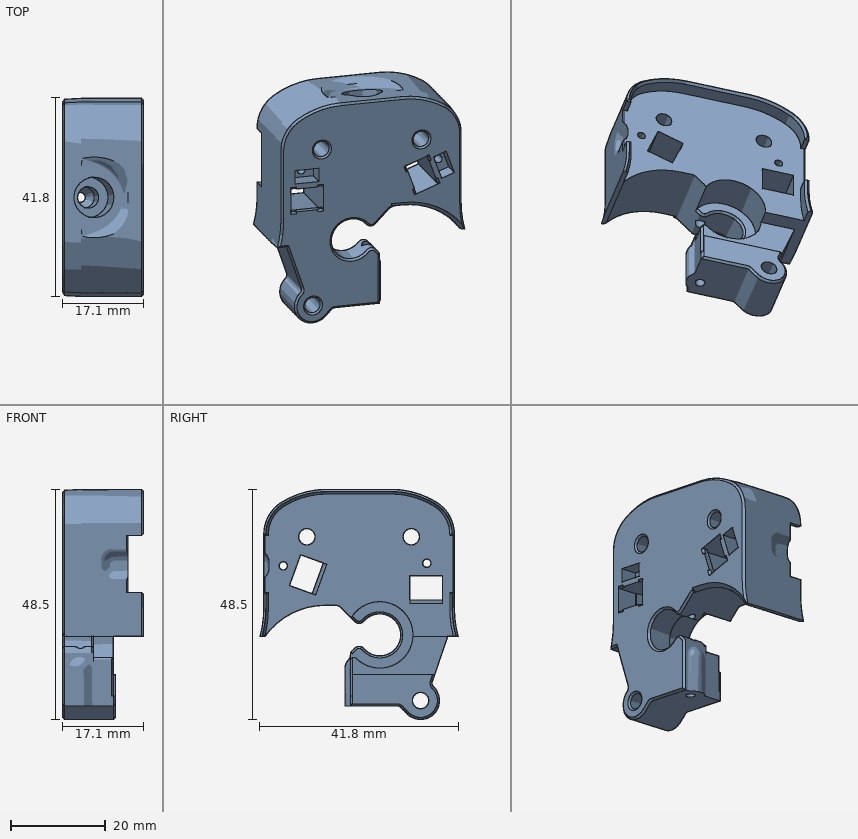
import cadquery as cq
import math


far = 30.0
margin = 1.0

depth = 17.05
hood_top = 31.0
hood_half_width = 20.1
crown_radius = 18.0
shoulder_radius = 8.0
shoulder_bottom = 21.5
skirt_top = 6.0
skirt_half_width = 20.89
draft_depth = 3.95
draft_angle = 3.0
edge_chamfer = 0.45

step_x = 13.8
step_bottom = 9.3
step_top = 21.24
step_chamfer = 0.3
rim_thickness = 1.0
rim_bevel = 0.5

arm_side_y = -1.86
arm_bottom = -14.65
arm_thickness = 10.7
pad_thickness = 11.15
pad_top = -8.05
pad_corner_top = -12.5
slant_top_y = 18.7
slant_angle = 18.9
lug_y = 12.95
lug_z = -13.5
lug_radius = 4.0
lug_blend = 1.0

bore_y = 4.35
bore_z = 0.33
bore_radius = 8.8 / 2
counterbore_radius = 7.0
counterbore_x = 6.55
counterbore_round = 0.75
lip_round = 1.3
mouth_corner_round = 1.1
arch_top = 6.54
arch_start_y = -7.1
arch_radius = 15.65
arch_chamfer = 0.85
arch_bevel_start = -4.4

screw_diameter = 3.4
screw_chamfer = 0.4
screw_places = [(11.0, 21.0), (-11.0, 21.0), (lug_y, lug_z)]

window_width = 6.85
window_height = 5.05
ear_width = 1.25
ear_reach = 0.45
recess_width = 5.24
recess_height = 2.96
recess_depth = 4.0
recess_offset = 5.18
shelf_depth = 5.0
plate_thickness = 1.3
relief_drop = 0.8
pin_hole_diameter = 1.7
left_side_shelf = 0.33
left_seat = (14.1, 10.25, 0.0)
right_seat = (-11.1, 13.1, 70.0)

filament_x = 3.75
filament_diameter = 2.0
tilt = 12.0
recess_hinge_x = 3.96
inlet_x = 6.63
inlet_diameter = 8.5
inlet_depth = 6.0
tube_diameter = 4.5
tube_depth = 10.5
trumpet_radius = 5.6
trumpet_round = 4.0
trumpet_lift = 0.08
trumpet_floor_round = 0.4

groove_x = 10.8
groove_z = 15.05
groove_flat = 1.0
groove_half_width = 2.93
groove_depth = 1.15
groove_crest_share = 0.65
rib_top_z = -6.86
rib_half_width = 2.87
rib_height = 1.15
rib_crest_share = 0.7


def box(x0, x1, y0, y1, z0, z1):
    return cq.Workplane("XY").box(x1 - x0, y1 - y0, z1 - z0, centered=False).translate((x0, y0, z0))


def cylinder_x(y, z, radius, x0, x1):
    return cq.Workplane("YZ", origin=(x0, y, z)).circle(radius).extrude(x1 - x0)


def round_corner(solid, y, z, radius):
    """Round the one edge along X that passes through (y, z)."""
    return solid.edges("|X").edges(cq.NearestToPointSelector((depth / 2, y, z))).fillet(radius)


def hood_outline(x):
    """Symmetric hood outline in the YZ plane; the skirts run on below Z = 0."""
    shoulder_y = hood_half_width - shoulder_radius
    crown_z = hood_top - crown_radius
    center_gap = crown_radius - shoulder_radius
    rise = (shoulder_bottom - crown_z) / center_gap
    crown_y = shoulder_y - center_gap * math.sqrt(1 - rise ** 2)
    crown_end = crown_y + crown_radius * math.sqrt(1 - rise ** 2)
    crown_end_z = crown_z + crown_radius * rise
    flare_reach = skirt_half_width - hood_half_width
    flare_radius = (flare_reach ** 2 + skirt_top ** 2) / (2 * flare_reach)
    tail_z = -2.0
    tail_y = hood_half_width + flare_radius - math.sqrt(flare_radius ** 2 - (skirt_top - tail_z) ** 2)
    return (
        cq.Workplane("YZ", origin=(x, 0, 0))
        .moveTo(-crown_y, hood_top)
        .lineTo(crown_y, hood_top)
        .tangentArcPoint((crown_end, crown_end_z), relative=False)
        .tangentArcPoint((hood_half_width, shoulder_bottom), relative=False)
        .lineTo(hood_half_width, skirt_top)
        .tangentArcPoint((tail_y, tail_z), relative=False)
        .lineTo(-tail_y, tail_z)
        .radiusArc((-hood_half_width, skirt_top), -flare_radius)
        .lineTo(-hood_half_width, shoulder_bottom)
        .tangentArcPoint((-crown_end, crown_end_z), relative=False)
        .tangentArcPoint((-crown_y, hood_top), relative=False)
        .close()
    )


def make_step():
    """Channel across the whole rear face, with bevelled mouth edges."""
    mouth_x = depth - edge_chamfer
    return (
        cq.Workplane("XZ", origin=(0, far, 0))
        .polyline([
            (step_x, step_bottom),
            (mouth_x, step_bottom),
            (depth, step_bottom - edge_chamfer),
            (depth, step_top + edge_chamfer),
            (mouth_x, step_top),
            (step_x, step_top),
        ])
        .close()
        .extrude(2 * far)
    )


def make_rear_pocket():
    """Pocket behind the step floor that leaves a thin bevelled rim; open at the bottom."""
    pocket = hood_outline(step_x).offset2D(-rim_thickness).extrude(depth - step_x)
    bevel = (
        hood_outline(depth)
        .offset2D(rim_bevel - rim_thickness)
        .extrude(-2 * rim_bevel, taper=45)
    )
    return pocket.union(bevel)


def make_hood():
    rear = hood_outline(draft_depth).extrude(depth - draft_depth)
    front = hood_outline(draft_depth).extrude(-draft_depth, taper=draft_angle)
    below = box(-margin, depth + margin, -far, far, -far, 0)
    hood = rear.union(front).faces(">X").edges().chamfer(edge_chamfer).cut(make_step())
    step_face = cq.selectors.BoxSelector(
        (step_x - margin, -far, step_bottom), (step_x + margin, far, step_top)
    )
    hood = hood.faces(step_face).edges("|Z").chamfer(step_chamfer)
    return hood.cut(make_rear_pocket()).cut(below)


def make_arm():
    slope = math.tan(math.radians(slant_angle))
    arm_top = 2.0
    slant_bottom_y = slant_top_y + arm_bottom * slope
    block = (
        cq.Workplane("YZ")
        .polyline([
            (arm_side_y, arm_bottom),
            (slant_bottom_y, arm_bottom),
            (slant_top_y, 0),
            (slant_top_y, arm_top),
            (arm_side_y, arm_top),
        ])
        .close()
        .extrude(pad_thickness)
    )
    lug_length = 8.0
    lug = (
        box(0, pad_thickness, -lug_length, 0, -lug_radius, lug_radius)
        .union(cylinder_x(0, 0, lug_radius, 0, pad_thickness))
        .rotate((0, 0, 0), (1, 0, 0), -45)
        .translate((0, lug_y, lug_z))
    )
    side = lug_radius * math.sqrt(2)
    under_y = lug_y + lug_z - side - arm_bottom
    over_z = (lug_y + lug_z + side - slant_top_y) / (1 + slope)
    over_y = lug_y + lug_z + side - over_z
    arm = block.union(lug)
    arm = round_corner(arm, under_y, arm_bottom, lug_blend)
    arm = round_corner(arm, over_y, over_z, lug_blend)
    return arm


def thin_arm(arm):
    """Lower the rear of the arm above the pad and bevel its free side edge."""
    inner_y = arm_side_y + edge_chamfer
    arm = arm.faces(">X").edges().chamfer(edge_chamfer)
    arm = arm.cut(box(arm_thickness, pad_thickness + margin, -far, far, pad_top, far))
    arm = arm.cut(box(arm_thickness, pad_thickness + margin, -far, inner_y, pad_corner_top, far))
    bevel = (
        cq.Workplane("XY", origin=(0, 0, pad_corner_top))
        .polyline([
            (arm_thickness, inner_y),
            (arm_thickness - edge_chamfer, arm_side_y),
            (arm_thickness, arm_side_y),
        ])
        .close()
        .extrude(far)
    )
    return arm.cut(bevel)


def make_mouth():
    """Bore, its two 45 degree lips and the arch, as one opening through the whole depth."""
    reach = bore_radius / math.sqrt(2)
    tangent_y = bore_y - reach
    lip_y = 0.0
    upper_lip_z = bore_z + reach - (tangent_y - lip_y)
    lower_lip_z = bore_z - reach + (tangent_y - lip_y)
    side_corner_z = lower_lip_z + arm_side_y
    arch_corner_y = upper_lip_z - arch_top
    arch_center_z = arch_top - arch_radius
    arch_end_y = arch_start_y - math.sqrt(arch_radius ** 2 - arch_center_z ** 2)
    floor_z = arm_bottom - far
    opening = (
        cq.Workplane("YZ")
        .moveTo(tangent_y, bore_z + reach)
        .lineTo(lip_y, upper_lip_z)
        .lineTo(arch_corner_y, arch_top)
        .lineTo(arch_start_y, arch_top)
        .radiusArc((arch_end_y, 0), -arch_radius)
        .lineTo(arch_end_y, floor_z)
        .lineTo(arm_side_y, floor_z)
        .lineTo(arm_side_y, side_corner_z)
        .lineTo(lip_y, lower_lip_z)
        .lineTo(tangent_y, bore_z - reach)
        .threePointArc((bore_y + bore_radius, bore_z), (tangent_y, bore_z + reach))
        .close()
        .extrude(depth)
    )
    opening = round_corner(opening, lip_y, upper_lip_z, lip_round)
    opening = round_corner(opening, lip_y, lower_lip_z, lip_round)
    opening = round_corner(opening, arm_side_y, side_corner_z, mouth_corner_round)
    return round_corner(opening, arch_corner_y, arch_top, lip_round)


def make_arch_bevel():
    """Wide bevel where the arch meets the front face; it starts past the upper lip."""
    center_z = arch_top - arch_radius
    wide_radius = arch_radius + arch_chamfer
    cone = (
        cq.Workplane("YZ", origin=(0, arch_start_y, center_z))
        .circle(wide_radius)
        .workplane(offset=arch_chamfer)
        .circle(arch_radius)
        .loft()
    )
    sector = box(0, arch_chamfer, arch_start_y - wide_radius, arch_start_y, 0, center_z + wide_radius)
    flat_bevel = (
        cq.Workplane("XZ", origin=(0, arch_start_y, 0))
        .polyline([(0, arch_top), (0, arch_top + arch_chamfer), (arch_chamfer, arch_top)])
        .close()
        .extrude(arch_start_y - arch_bevel_start)
    )
    return cone.intersect(sector).union(flat_bevel)


def make_screw_hole(y, z):
    hole = cylinder_x(y, z, screw_diameter / 2, 0, depth)
    countersink = (
        cq.Workplane("YZ", origin=(0, y, z))
        .circle(screw_diameter / 2 + screw_chamfer)
        .workplane(offset=screw_chamfer)
        .circle(screw_diameter / 2)
        .loft()
    )
    return hole.union(countersink)


def make_sensor_seat(y, z, turn, side_shelf):
    """Through window with bevelled ears, and a blind recess with a pin hole beside it.

    It is built upright around the window center and then turned about X.
    """
    left = window_width / 2 + side_shelf
    right = -window_width / 2
    top = window_height / 2
    seat = box(0, depth, right, window_width / 2, -top, top)
    ear = (
        cq.Workplane("XZ")
        .polyline([(0, top), (0, top + ear_reach), (ear_reach, top)])
        .close()
        .extrude(-ear_width)
    )
    for ear_y in (right, left - ear_width):
        upper_ear = ear.translate((0, ear_y, 0))
        seat = seat.union(upper_ear).union(upper_ear.mirror("XY"))
    seat = seat.union(box(0, shelf_depth, 0, left, -top, top))
    relief = box(plate_thickness, depth, right, window_width / 2, -top - relief_drop, 0)
    seat = seat.union(relief)
    recess_y = side_shelf / 2
    recess = box(
        0, recess_depth,
        recess_y - recess_width / 2, recess_y + recess_width / 2,
        recess_offset - recess_height / 2, recess_offset + recess_height / 2,
    )
    pin_hole = cylinder_x(recess_y, recess_offset, pin_hole_diameter / 2, 0, depth)
    seat = seat.union(recess).union(pin_hole)
    return seat.rotate((0, 0, 0), (1, 0, 0), turn).translate((0, y, z))


def tilted(shape):
    """Lean a shape built upright at the origin and set its origin on the inlet seat plane."""
    seat_drop = (inlet_x - recess_hinge_x) * math.tan(math.radians(tilt))
    return shape.rotate((0, 0, 0), (0, 1, 0), tilt).translate((inlet_x, 0, hood_top - seat_drop))


def make_inlet():
    """Trumpet-shaped recess with a leaning floor, the fitting hole and the filament path."""
    rim_radius = trumpet_radius + trumpet_round
    trumpet_depth = 5.0
    above = 2.0
    trumpet = (
        cq.Workplane("XZ")
        .moveTo(0, -trumpet_depth)
        .lineTo(trumpet_radius, -trumpet_depth)
        .lineTo(trumpet_radius, -trumpet_round)
        .radiusArc((rim_radius, 0), trumpet_round)
        .lineTo(rim_radius, above)
        .lineTo(0, above)
        .close()
        .revolve(360, (0, 0, 0), (0, 1, 0))
        .translate((inlet_x, 0, hood_top + trumpet_lift))
    )
    lean = math.radians(tilt)
    under_floor = tilted(box(-far, far, -far, far, -far, 0))
    recess = trumpet.cut(under_floor)
    floor_face = cq.selectors.DirectionMinMaxSelector(
        cq.Vector(math.sin(lean), 0, math.cos(lean)), False
    )
    recess = recess.faces(floor_face).edges().fillet(trumpet_floor_round)

    bend_length = (inlet_x - filament_x) / math.sin(lean)
    seat_z = hood_top - (inlet_x - recess_hinge_x) * math.tan(lean)
    bend_z = seat_z - bend_length * math.cos(lean)
    fitting = tilted(cq.Workplane("XY").circle(inlet_diameter / 2).extrude(-inlet_depth))
    fitting_mouth = tilted(cq.Workplane("XY").circle(inlet_diameter / 2).extrude(above))
    tube = tilted(cq.Workplane("XY").circle(tube_diameter / 2).extrude(-tube_depth))
    funnel = tilted(
        cq.Workplane("XY", origin=(0, 0, -tube_depth))
        .circle(tube_diameter / 2)
        .workplane(offset=tube_depth - bend_length)
        .circle(filament_diameter / 2)
        .loft()
    )
    bottom = arm_bottom - margin
    filament = (
        cq.Workplane("XY", origin=(filament_x, 0, bottom))
        .circle(filament_diameter / 2)
        .extrude(bend_z + filament_diameter / 2 - bottom)
    )
    return recess.union(fitting).union(fitting_mouth).union(tube).union(funnel).union(filament)


def swell_profile(half_width, height, crest_share):
    """Half section of a smooth swelling: a crest arc running tangent into a foot arc.

    The axis of the swelling is the local Y axis, its base lies on local Y = 0.
    """
    crest_end = half_width * crest_share
    crest_drop = height * crest_share
    radius_sum = (half_width ** 2 + height ** 2) / (2 * height)
    crest_radius = radius_sum * crest_share
    foot_radius = radius_sum - crest_radius
    base = -margin
    return (
        cq.Workplane("XY")
        .moveTo(0, base)
        .lineTo(0, height)
        .radiusArc((crest_end, height - crest_drop), crest_radius)
        .radiusArc((half_width, 0), -foot_radius)
        .lineTo(half_width, base)
        .close()
    )


def make_groove():
    """Rounded slot sunk into the -Y flank, open to the step.

    The lower half is built first: rear corner, long side and the half of the end between the corners.
    """
    section = (groove_half_width, groove_depth, groove_crest_share)
    half_flat = groove_flat / 2
    run = step_x - groove_x
    quarter = swell_profile(*section).revolve(90, (0, 0, 0), (0, 1, 0))
    corner = quarter.rotate((0, 0, 0), (0, 1, 0), 90)
    side = swell_profile(*section).extrude(run).rotate((0, 0, 0), (0, 1, 0), 90)
    end = swell_profile(*section).extrude(half_flat).rotate((0, 0, 0), (0, 1, 0), 180)
    end = end.translate((0, 0, half_flat))
    middle = box(0, run, -margin, groove_depth, 0, half_flat)
    lower = corner.union(side).union(end).union(middle).translate((0, 0, -half_flat))
    groove = lower.union(lower.mirror("XY"))
    return groove.translate((groove_x, -hood_half_width, groove_z))


def make_rib():
    """Dome-topped rib on the free side of the arm, around the filament hole."""
    section = (rib_half_width, rib_height, rib_crest_share)
    half_dome = swell_profile(*section).revolve(180, (0, 0, 0), (0, 1, 0))
    dome = half_dome.rotate((0, 0, 0), (0, 1, 0), 180)
    length = rib_top_z - arm_bottom
    half_bar = swell_profile(*section).extrude(length).translate((0, 0, -length))
    rib = dome.union(half_bar).union(half_bar.mirror("YZ"))
    return rib.rotate((0, 0, 0), (0, 0, 1), 180).translate((filament_x, arm_side_y, rib_top_z))


def cut_counterbore(part):
    """Widen the bore behind the lips; bevel the bore rim and round the arm's free corner."""
    counterbore = cylinder_x(bore_y, bore_z, counterbore_radius, counterbore_x, depth)
    part = part.cut(counterbore)
    block = box(counterbore_x, arm_thickness, arm_side_y, bore_y, arm_bottom, bore_z)
    corner_z = bore_z - math.sqrt(counterbore_radius ** 2 - (bore_y - arm_side_y) ** 2)
    rounded_block = round_corner(block.cut(counterbore), arm_side_y, corner_z, counterbore_round)
    corner_trim = block.cut(rounded_block)
    bevel = (
        cq.Workplane("YZ", origin=(counterbore_x, 0, 0))
        .add(make_mouth().faces("<X").wires().translate((counterbore_x, 0, 0)))
        .toPending()
        .offset2D(edge_chamfer)
        .extrude(-edge_chamfer, taper=45)
    )
    bevel_limit = cylinder_x(bore_y, bore_z, counterbore_radius, 0, counterbore_x)
    return part.cut(bevel.intersect(bevel_limit)).cut(corner_trim)


result = make_hood().union(thin_arm(make_arm())).cut(make_mouth())
result = result.faces("<X").edges().chamfer(edge_chamfer)
result = result.cut(make_arch_bevel())
result = cut_counterbore(result)
result = result.union(make_rib())
result = result.cut(make_groove())
result = result.cut(make_inlet())
for screw_y, screw_z in screw_places:
    result = result.cut(make_screw_hole(screw_y, screw_z))
result = result.cut(make_sensor_seat(*left_seat, left_side_shelf))
result = result.cut(make_sensor_seat(*right_seat, 0))